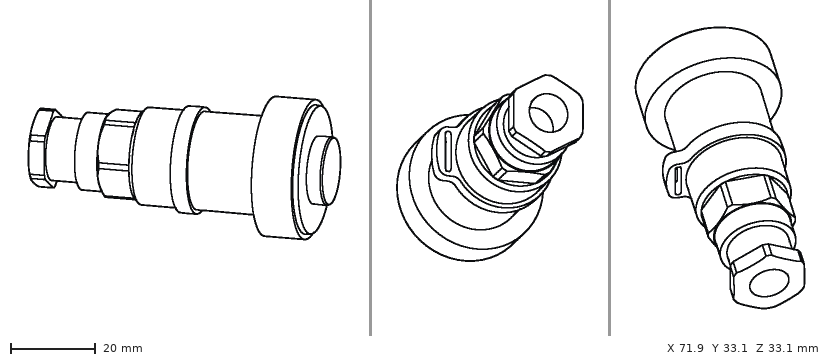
import cadquery as cq
import math


gland_nut_end = 3.95
gland_barrel_end = 11.5
collar_end = 17.05
body_hex_end = 25.2
flange_start = 56.95
flange_end = 66.7
face_ring_end = 68.0
length = 71.9

gland_hex_apothem = 8.55
gland_hex_radius = 9.5
gland_face_radius = 8.5
gland_rim_length = 0.4
cable_bore_radius = 4.75
cable_bore_depth = gland_barrel_end

body_hex_apothem = 9.5
body_hex_radius = 10.6
body_hex_chamfer_length = 0.8
body_hex_chamfer_depth = 1.15

gland_barrel_radius = 7.55
collar_radius = 9.2
shell_front_radius = 11.6
shell_rear_radius = 11.8
shell_chamfer = 1.1
flange_radius = 33.15 / 2
face_ring_root_radius = 15.3
face_ring_tip_radius = 15.2
spigot_root_radius = 8.05
spigot_radius = 8.1
spigot_chamfer_length = 0.5
spigot_chamfer_depth = 0.2

ring_start = 35.95
ring_end = 39.9
ring_middle = (ring_start + ring_end) / 2
ring_radius = 12.7
ring_draft_angle = 2.0
lug_reach = 16.5
lug_half_width = 6.1
lug_blend_radius = 2.4
slot_length = 9.9
slot_width = 1.4
slot_centre_y = 13.5


def revolve_about_x(profile):
    """Solid of revolution about X from (x, radius) points, closed along the axis."""
    outline = [(profile[0][0], 0), *profile, (profile[-1][0], 0)]
    return cq.Workplane("XY").polyline(outline).close().revolve(360, (0, 0, 0), (1, 0, 0))


def hexagon(start, end, apothem, corner_angle):
    """Hexagonal prism along X; corner_angle turns its first corner from +Y towards +Z."""
    corner_radius = apothem / math.cos(math.pi / 6)
    prism = (
        cq.Workplane("YZ", origin=(start, 0, 0))
        .polygon(6, 2 * corner_radius)
        .extrude(end - start)
    )
    return prism.rotate((0, 0, 0), (1, 0, 0), corner_angle)


def make_gland_nut():
    """Hexagon nut whose front rim curves back tangentially from the flat end face."""
    rim_start = (0, gland_face_radius)
    rim_end = (gland_rim_length, gland_hex_radius)
    trim = (
        cq.Workplane("XY")
        .lineTo(*rim_start)
        .tangentArcPoint(rim_end, relative=False)
        .lineTo(gland_nut_end, gland_hex_radius)
        .lineTo(gland_nut_end, 0)
        .close()
        .revolve(360, (0, 0, 0), (1, 0, 0))
    )
    return hexagon(0, gland_nut_end, gland_hex_apothem, 30).intersect(trim)


def make_body_hex():
    trim = revolve_about_x([
        (collar_end, body_hex_radius - body_hex_chamfer_depth),
        (collar_end + body_hex_chamfer_length, body_hex_radius),
        (body_hex_end, body_hex_radius),
    ])
    return hexagon(collar_end, body_hex_end, body_hex_apothem, 0).intersect(trim)


def make_gland_stem():
    return revolve_about_x([
        (gland_nut_end, gland_barrel_radius),
        (gland_barrel_end, gland_barrel_radius),
        (gland_barrel_end, collar_radius),
        (collar_end, collar_radius),
    ])


def make_shell():
    """Tapered shell, flange, face ring and plug spigot."""
    return revolve_about_x([
        (body_hex_end, shell_front_radius - shell_chamfer),
        (body_hex_end + shell_chamfer, shell_front_radius),
        (flange_start, shell_rear_radius),
        (flange_start, flange_radius),
        (flange_end, flange_radius),
        (flange_end, face_ring_root_radius),
        (face_ring_end, face_ring_tip_radius),
        (face_ring_end, spigot_root_radius),
        (length - spigot_chamfer_length, spigot_radius),
        (length, spigot_radius - spigot_chamfer_depth),
    ])


def make_housing():
    cable_bore = revolve_about_x([(0, cable_bore_radius), (cable_bore_depth, cable_bore_radius)])
    return (
        make_gland_nut()
        .union(make_gland_stem())
        .union(make_body_hex())
        .union(make_shell())
        .cut(cable_bore)
    )


def polar(radius, angle):
    return (radius * math.cos(angle), radius * math.sin(angle))


def ring_outline(workplane):
    """Ring circle blended into the lug, in (y, z) coordinates; the lower half mirrors the upper."""
    blend_z = lug_half_width + lug_blend_radius
    blend_angle = math.asin(blend_z / (ring_radius + lug_blend_radius))
    blend_y = (ring_radius + lug_blend_radius) * math.cos(blend_angle)
    blend_start_turn = blend_angle + math.pi
    blend_end_turn = 3 * math.pi / 2
    blend_middle_turn = (blend_start_turn + blend_end_turn) / 2
    corner_z = lug_half_width - lug_blend_radius
    corner_angle = math.asin(corner_z / (lug_reach - lug_blend_radius))
    corner_y = (lug_reach - lug_blend_radius) * math.cos(corner_angle)
    corner_middle_turn = (corner_angle + math.pi / 2) / 2

    def mirrored(point):
        return (point[0], -point[1])

    def around(y, z, angle):
        dy, dz = polar(lug_blend_radius, angle)
        return (y + dy, z + dz)

    ring_tangent = polar(ring_radius, blend_angle)
    blend_middle = around(blend_y, blend_z, blend_middle_turn)
    blend_end = (blend_y, lug_half_width)
    corner_start = (corner_y, lug_half_width)
    corner_middle = around(corner_y, corner_z, corner_middle_turn)
    corner_end = polar(lug_reach, corner_angle)
    return (
        workplane.moveTo(*ring_tangent)
        .threePointArc(blend_middle, blend_end)
        .lineTo(*corner_start)
        .threePointArc(corner_middle, corner_end)
        .threePointArc((lug_reach, 0), mirrored(corner_end))
        .threePointArc(mirrored(corner_middle), mirrored(corner_start))
        .lineTo(*mirrored(blend_end))
        .threePointArc(mirrored(blend_middle), mirrored(ring_tangent))
        .threePointArc((-ring_radius, 0), ring_tangent)
        .close()
    )


def make_strap_ring(housing):
    """Ring drafted both ways from its middle plane, bored to fit the shell."""
    half_width = (ring_end - ring_start) / 2
    middle_plane = cq.Workplane("YZ", origin=(ring_middle, 0, 0))
    rear_half = ring_outline(middle_plane).extrude(half_width, taper=ring_draft_angle)
    front_half = rear_half.mirror("YZ", (ring_middle, 0, 0))
    slot = (
        cq.Workplane("YZ", origin=(ring_start, 0, 0))
        .center(slot_centre_y, 0)
        .slot2D(slot_length, slot_width, 90)
        .extrude(ring_end - ring_start)
    )
    return rear_half.union(front_half).cut(slot).cut(housing)


housing = make_housing()
strap_ring = make_strap_ring(housing)

result = cq.Compound.makeCompound([housing.solids().val(), strap_ring.solids().val()])